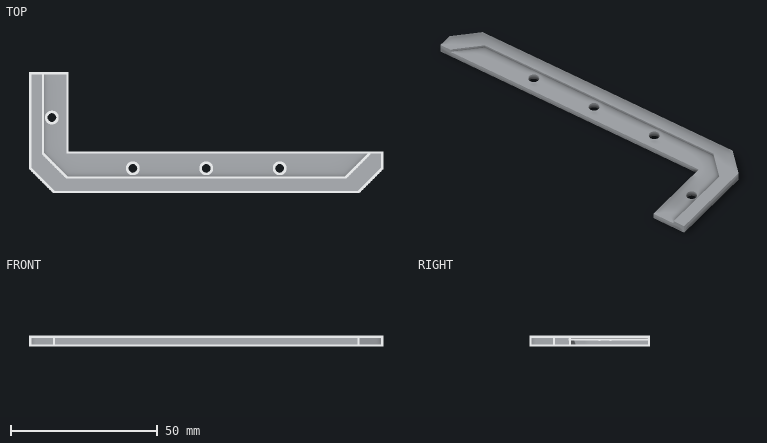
import cadquery as cq

LENGTH = 119.99
DEPTH = 40.5
THICKNESS = 3.0

SHORT_ARM_WIDTH = 12.8
LONG_ARM_WIDTH = 13.5
CORNER_CHAMFER = 8.1

RECESS_DEPTH = 1.0
SIDE_RIM_WIDTH = 4.4
BOTTOM_RIM_WIDTH = 5.0

HOLE_DIAMETER = 3.78
HOLE_SPACING = 25.0
LONG_ARM_HOLE_Y = 8.1
SHORT_ARM_HOLE = (7.4, 25.4)


def chamfered_angle(side_inset, bottom_inset, height):
    """L-shaped plate, with its outer edges inset and both lower corners cut at 45 degrees."""
    left = side_inset
    right = LENGTH - side_inset
    bottom = bottom_inset
    return (
        cq.Workplane("XY")
        .moveTo(left, DEPTH)
        .lineTo(left, bottom + CORNER_CHAMFER)
        .lineTo(left + CORNER_CHAMFER, bottom)
        .lineTo(right - CORNER_CHAMFER, bottom)
        .lineTo(right, bottom + CORNER_CHAMFER)
        .lineTo(right, LONG_ARM_WIDTH)
        .lineTo(SHORT_ARM_WIDTH, LONG_ARM_WIDTH)
        .lineTo(SHORT_ARM_WIDTH, DEPTH)
        .close()
        .extrude(height)
    )


def through_holes():
    """Three holes centred along the long arm and one in the short arm."""
    long_arm_holes = [(LENGTH / 2 + i * HOLE_SPACING, LONG_ARM_HOLE_Y) for i in (-1, 0, 1)]
    return (
        cq.Workplane("XY")
        .pushPoints(long_arm_holes + [SHORT_ARM_HOLE])
        .circle(HOLE_DIAMETER / 2)
        .extrude(THICKNESS)
    )


plate = chamfered_angle(0, 0, THICKNESS)
recess_floor = THICKNESS - RECESS_DEPTH
recess = chamfered_angle(SIDE_RIM_WIDTH, BOTTOM_RIM_WIDTH, RECESS_DEPTH).translate((0, 0, recess_floor))

result = plate.cut(recess).cut(through_holes())